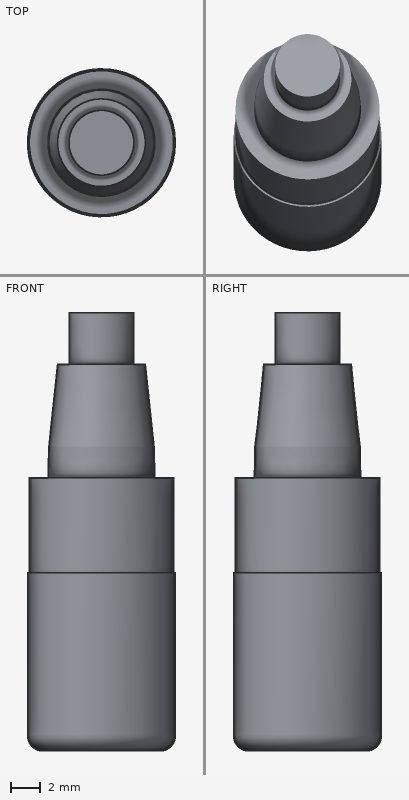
import cadquery as cq

total_height = 29.7

sleeve_diameter = 10.0
sleeve_height = 12.05
foot_radius = 1.05

collar_step = 0.12
collar_top = 18.5
neck_base_radius = 3.62
neck_bend_radius = 3.55
neck_bend_height = 20.6
neck_top_radius = 2.97
neck_top_height = 26.2
tip_radius = 2.2

sleeve_radius = sleeve_diameter / 2
collar_radius = sleeve_radius - collar_step


def make_sleeve():
    """Solid cylinder standing on Z = 0 with a rounded lower edge."""
    cylinder = cq.Workplane("XY").circle(sleeve_radius).extrude(sleeve_height)
    return cylinder.faces("<Z").edges().fillet(foot_radius)


def make_plug():
    """Stepped and tapered body of revolution resting on the sleeve."""
    profile = (
        cq.Workplane("XZ")
        .moveTo(0, sleeve_height)
        .lineTo(collar_radius, sleeve_height)
        .lineTo(collar_radius, collar_top)
        .lineTo(neck_base_radius, collar_top)
        .lineTo(neck_bend_radius, neck_bend_height)
        .lineTo(neck_top_radius, neck_top_height)
        .lineTo(tip_radius, neck_top_height)
        .lineTo(tip_radius, total_height)
        .lineTo(0, total_height)
        .close()
    )
    return profile.revolve(360, (0, 0, 0), (0, 1, 0))


sleeve = make_sleeve()
plug = make_plug()

result = cq.Compound.makeCompound([sleeve.val(), plug.val()])